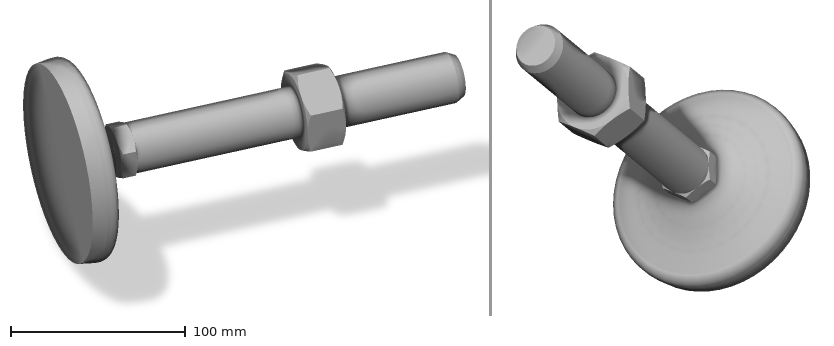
import cadquery as cq
import math

total_length = 243.5

foot_radius = 120.0 / 2
sole_radius = 58.7
rim_start = 8.8
rim_end = 11.7
rim_rounding = 5.4
flare_mid_radius = 31.0
flare_mid_height = 23.0
flare_top_radius = 16.3
flare_top_height = 29.5
crown_mid_radius = 10.7
crown_mid_height = 31.5
crown_height = 32.5

neck_radius = 10.0 / 2
stud_diameter = 30.0
stud_radius = stud_diameter / 2
stud_chamfer_length = 5.0
stud_chamfer_depth = 2.7
wrench_hex_start = 33.0
wrench_hex_length = 10.2
nut_start = 143.7
nut_length = 23.4
nut_across_flats = 45.0
hex_chamfer_angle = math.radians(30)


def make_foot():
    """Revolved foot with a tapered rim, concave flare and rounded crown."""
    rounding_end_radius = foot_radius - rim_rounding
    rounding_end_height = rim_end + rim_rounding
    diagonal = rim_rounding * math.sqrt(0.5)
    profile = (
        cq.Workplane("XY")
        .lineTo(sole_radius, 0)
        .lineTo(foot_radius, rim_start)
        .lineTo(foot_radius, rim_end)
        .threePointArc(
            (rounding_end_radius + diagonal, rim_end + diagonal),
            (rounding_end_radius, rounding_end_height),
        )
        .threePointArc((flare_mid_radius, flare_mid_height), (flare_top_radius, flare_top_height))
        .threePointArc((crown_mid_radius, crown_mid_height), (neck_radius, crown_height))
        .lineTo(0, crown_height)
        .close()
    )
    return profile.revolve(360, (0, 0), (0, 1))


def make_stud():
    """Narrow neck carrying the full stud, with a chamfered free end."""
    return (
        cq.Workplane("XY")
        .moveTo(0, flare_top_height)
        .lineTo(neck_radius, flare_top_height)
        .lineTo(neck_radius, wrench_hex_start)
        .lineTo(stud_radius, wrench_hex_start)
        .lineTo(stud_radius, total_length - stud_chamfer_length)
        .lineTo(stud_radius - stud_chamfer_depth, total_length)
        .lineTo(0, total_length)
        .close()
        .revolve(360, (0, 0), (0, 1))
    )


def make_hexagon(start, length, across_flats):
    """Hexagon with corners on Z and both ends turned to conical chamfers."""
    face_radius = across_flats / 2
    corner_radius = face_radius / math.cos(math.pi / 6)
    chamfer_length = (corner_radius - face_radius) * math.tan(hex_chamfer_angle)
    end = start + length
    prism = (
        cq.Workplane("XZ", origin=(0, start, 0))
        .transformed(rotate=(0, 0, 90))
        .polygon(6, 2 * corner_radius)
        .extrude(-length)
    )
    chamfer_envelope = (
        cq.Workplane("XY")
        .moveTo(0, start)
        .lineTo(face_radius, start)
        .lineTo(corner_radius, start + chamfer_length)
        .lineTo(corner_radius, end - chamfer_length)
        .lineTo(face_radius, end)
        .lineTo(0, end)
        .close()
        .revolve(360, (0, 0), (0, 1))
    )
    return prism.intersect(chamfer_envelope)


wrench_hex = make_hexagon(wrench_hex_start, wrench_hex_length, stud_diameter)
nut = make_hexagon(nut_start, nut_length, nut_across_flats)
result = make_foot().union(make_stud()).union(wrench_hex).union(nut)